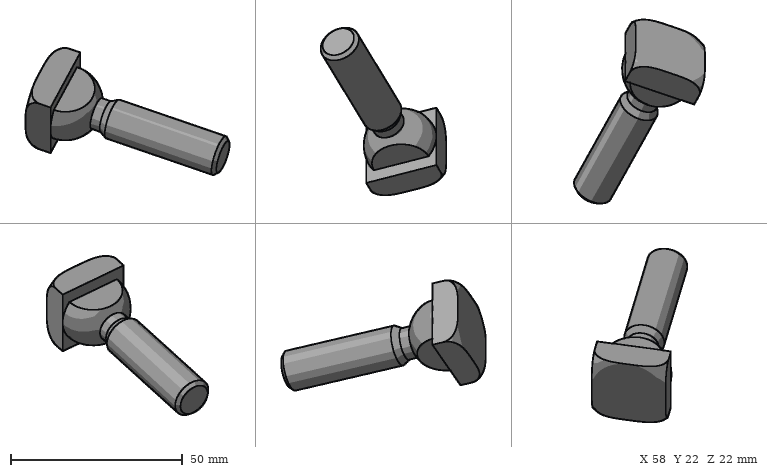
import cadquery as cq
import math

total_length = 58.0
head_width = 22.0
head_thickness = 8.0

seat_radius = head_width / 2
seat_height = 13.8

neck_radius = 9.5 / 2
shank_radius = 12.0 / 2
neck_end = 20.9
neck_cone_angle = 30.0
tip_chamfer = 1.1


def make_head():
    """Square plate whose front corners are rounded by one revolved arc."""
    half_width = head_width / 2
    plate = cq.Workplane("XY").box(head_thickness, head_width, head_width).translate((head_thickness / 2, 0, 0))
    corner_radius = half_width * math.sqrt(2)
    round_radius = corner_radius - half_width
    arc_offset = round_radius * math.sqrt(0.5)
    rounded_disc = (
        cq.Workplane("XY")
        .lineTo(0, half_width)
        .threePointArc(
            (round_radius - arc_offset, half_width + arc_offset),
            (round_radius, corner_radius),
        )
        .lineTo(head_thickness, corner_radius)
        .lineTo(head_thickness, 0)
        .close()
        .revolve(360, (0, 0, 0), (1, 0, 0))
    )
    return plate.intersect(rounded_disc)


def make_seat():
    """Half ball centred on the back face of the head, with two parallel flats."""
    ball = cq.Workplane("XY").sphere(seat_radius)
    slab = cq.Workplane("XY").box(seat_radius, head_width, seat_height).translate((seat_radius / 2, 0, 0))
    return ball.intersect(slab).translate((head_thickness, 0, 0))


def make_shank():
    """Narrow neck, cone up to the full diameter, and a chamfered tip."""
    cone_length = (shank_radius - neck_radius) / math.tan(math.radians(neck_cone_angle))
    return (
        cq.Workplane("XY")
        .polyline([
            (head_thickness, 0),
            (head_thickness, neck_radius),
            (neck_end, neck_radius),
            (neck_end + cone_length, shank_radius),
            (total_length - tip_chamfer, shank_radius),
            (total_length, shank_radius - tip_chamfer),
            (total_length, 0),
        ])
        .close()
        .revolve(360, (0, 0, 0), (1, 0, 0))
    )


result = make_head().union(make_seat()).union(make_shank())